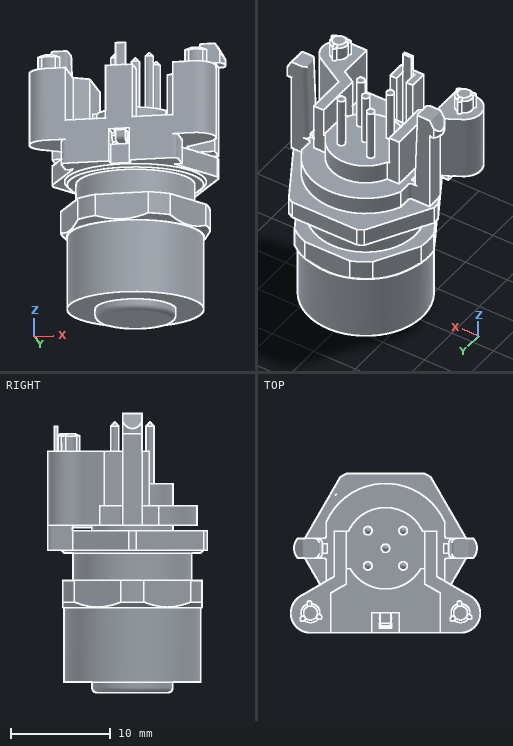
import cadquery as cq
import math

overall_width = 19.0
overall_height = 28.0
front_y = -8.48

nose_radius = 4.05
nose_round = 0.53
barrel_bottom = 1.05
barrel_radius = 6.85
nut_bottom = 8.5
nut_top = 11.28
nut_half_flats = 7.0
nut_corner_radius = 7.5
nut_bevel = 0.6
neck_radius = 5.95

collar_bottom = 14.0
collar_radius = 7.1
flange_bottom = 14.28
flange_top = 16.27
flange_half_flats = 7.5
flange_corner_radius = 8.45

insert_radius = 4.1
insert_top = 20.97
pin_offset = 1.75
pin_radius = 0.42
pin_shoulder = 26.7
pin_tip = 27.15

housing_bottom = 16.77
floor_top = 18.75
housing_top = 24.22
ear_radius = 2.0
ear_x = overall_width / 2 - ear_radius
ear_y = front_y + ear_radius
slope_angle = math.radians(30)
wall_outer_x = 5.12
wall_inner_x = 3.95
wall_back_y = 1.7
cavity_half_width = 5.5
cavity_shoulder_y = -4.48
shoulder_front_y = -2.07
plate_radius = 6.5
plate_half_width = 5.95
plate_front_y = -3.35
foot_half_width = 5.95
foot_back_y = -6.0
foot_round = 0.48

post_half_width = 1.37
post_back_y = -6.47
slit_half_width = 0.6
slit_front_y = -7.98
notch_half_width = 1.05
notch_top = 17.6
notch_slope_top = 17.3
notch_wall_y = -7.0
blade_half_width = 0.5
blade_front_y = -7.8
blade_thickness = 0.3
blade_bottom = 16.55
blade_bend_radius = 0.5

peg_radius = 0.95
peg_shoulder = 25.73
peg_top = 25.98
peg_top_radius = 0.7
rib_tip_radius = 1.23
rib_radius = 0.22
rib_count = 3
first_rib_angle = 96

arm_half_width = 0.98
arm_inner_base_x = 6.27
arm_inner_top_x = 6.65
arm_outer_x = 8.32
arm_side_round = 0.45
arm_top_round = 0.25
hook_tip_x = 9.18
hook_bottom = 25.95
hook_slope_bottom = 26.5
hook_end_radius = 1.43
bridge_round = 0.28
bridge_overlap = 0.55
gusset_tip_x = 5.82
gusset_height = 0.42
gusset_half_width = 0.48


def disc(radius, bottom, top, x=0, y=0):
    return cq.Workplane("XY", origin=(x, y, bottom)).circle(radius).extrude(top - bottom)


def box(x_min, x_max, y_min, y_max, bottom, top):
    size = (x_max - x_min, y_max - y_min, top - bottom)
    return cq.Workplane("XY").box(*size, centered=False).translate((x_min, y_min, bottom))


def centered_box(half_width, y_min, y_max, bottom, top):
    return box(-half_width, half_width, y_min, y_max, bottom, top)


def tapered_disc(bottom_radius, top_radius, bottom, top, x=0, y=0):
    profile = [(0, bottom), (bottom_radius, bottom), (top_radius, top)]
    if top_radius > 0:
        profile.append((0, top))
    return cq.Workplane("XZ").polyline(profile).close().revolve().translate((x, y, 0))


def rounded_hexagon(half_flats, corner_radius, bottom, top):
    """Hexagon with corners on the X axis, trimmed by a cylinder."""
    corner_diameter = 2 * half_flats / math.cos(math.radians(30))
    hexagon = cq.Workplane("XY", origin=(0, 0, bottom)).polygon(6, corner_diameter)
    return hexagon.extrude(top - bottom).intersect(disc(corner_radius, bottom, top))


def both_sides(right_half):
    """The given right-hand feature together with its mirror image."""
    return right_half.union(right_half.mirror("YZ"))


def make_plug():
    nose = disc(nose_radius, 0, barrel_bottom).faces("<Z").edges().fillet(nose_round)
    bevel_top = nut_bottom + nut_bevel
    bevel = tapered_disc(nut_corner_radius - nut_bevel, nut_corner_radius, nut_bottom, bevel_top)
    bevel = bevel.union(disc(nut_corner_radius, bevel_top, nut_top))
    nut = rounded_hexagon(nut_half_flats, nut_corner_radius, nut_bottom, nut_top).intersect(bevel)
    collar_bottom_radius = collar_radius - (flange_bottom - collar_bottom)
    plug = nose.union(disc(barrel_radius, barrel_bottom, nut_bottom)).union(nut)
    plug = plug.union(disc(neck_radius, nut_top, collar_bottom))
    plug = plug.union(tapered_disc(collar_bottom_radius, collar_radius, collar_bottom, flange_bottom))
    plug = plug.union(rounded_hexagon(flange_half_flats, flange_corner_radius, flange_bottom, flange_top))
    return plug.union(disc(insert_radius, flange_top, insert_top))


def make_pins():
    places = [(0, 0)]
    places += [(x, y) for x in (-pin_offset, pin_offset) for y in (-pin_offset, pin_offset)]
    pins = cq.Workplane("XY")
    for x, y in places:
        pins = pins.add(disc(pin_radius, insert_top, pin_shoulder, x, y))
        pins = pins.add(tapered_disc(pin_radius, 0, pin_shoulder, pin_tip, x, y))
    return pins.combine()


def ear_outline(bottom):
    """Front edge, two round ears and the sloped flanks that run back into the side walls."""
    tangent_x = ear_x + ear_radius * math.sin(slope_angle)
    tangent_y = ear_y + ear_radius * math.cos(slope_angle)
    wall_start_y = tangent_y + (tangent_x - wall_outer_x) * math.tan(slope_angle)
    return (
        cq.Workplane("XY", origin=(0, 0, bottom))
        .moveTo(-ear_x, front_y)
        .lineTo(ear_x, front_y)
        .threePointArc((ear_x + ear_radius, ear_y), (tangent_x, tangent_y))
        .lineTo(wall_outer_x, wall_start_y)
        .lineTo(wall_outer_x, wall_back_y)
        .lineTo(-wall_outer_x, wall_back_y)
        .lineTo(-wall_outer_x, wall_start_y)
        .lineTo(-tangent_x, tangent_y)
        .threePointArc((-ear_x - ear_radius, ear_y), (-ear_x, front_y))
        .close()
    )


def make_cavity():
    """Open space between the side walls, above the housing floor."""
    wall_start_y = cavity_shoulder_y + (cavity_half_width - wall_inner_x) * math.tan(slope_angle)
    right_side = [
        (cavity_half_width, front_y),
        (cavity_half_width, cavity_shoulder_y),
        (wall_inner_x, wall_start_y),
        (wall_inner_x, wall_back_y),
    ]
    left_side = [(-x, y) for x, y in reversed(right_side)]
    outline = cq.Workplane("XY", origin=(0, 0, floor_top)).polyline(right_side + left_side).close()
    return outline.extrude(housing_top - floor_top)


def make_back_plate():
    """Round-backed plate with straight sides and a filleted bridge out to each latch arm."""
    straight_part = centered_box(plate_half_width, plate_front_y, 0, housing_bottom, floor_top)
    round_part = disc(plate_radius, housing_bottom, floor_top)
    round_part = round_part.intersect(
        centered_box(plate_half_width, 0, plate_radius, housing_bottom, floor_top)
    )
    bridge_end_x = arm_inner_base_x + bridge_overlap
    bridge = centered_box(bridge_end_x, -arm_half_width, arm_half_width, housing_bottom, floor_top)
    plate = straight_part.union(round_part).union(bridge)
    middle_z = (housing_bottom + floor_top) / 2
    for x in (-plate_half_width, plate_half_width):
        for y in (-arm_half_width, arm_half_width):
            corner = cq.selectors.NearestToPointSelector((x, y, middle_z))
            plate = plate.edges(corner).fillet(bridge_round)
    return plate


def make_notch():
    """Front window around the blade foot, with a face that slopes back under its rear wall."""
    profile = [
        (front_y, flange_bottom),
        (-flange_half_flats, flange_bottom),
        (-flange_half_flats, flange_top),
        (post_back_y, flange_top),
        (post_back_y, housing_bottom),
        (notch_wall_y, notch_slope_top),
        (notch_wall_y, notch_top),
        (front_y, notch_top),
    ]
    return cq.Workplane("YZ").polyline(profile).close().extrude(notch_half_width, both=True)


def make_housing():
    housing = ear_outline(housing_bottom).extrude(housing_top - housing_bottom).cut(make_cavity())

    shoulder = centered_box(wall_inner_x, shoulder_front_y, wall_back_y, floor_top, insert_top)
    foot = centered_box(foot_half_width, front_y, foot_back_y, flange_bottom, housing_bottom)
    foot = foot.edges("|Z and <Y").fillet(foot_round)
    post = centered_box(post_half_width, front_y, post_back_y, floor_top, housing_top)
    housing = housing.union(make_back_plate()).union(shoulder).union(foot).union(post)

    slit = centered_box(slit_half_width, slit_front_y, post_back_y, flange_top, housing_top)
    return housing.cut(make_notch()).cut(slit)


def make_blade():
    """Flat contact rising through the post, bent backward at its foot into the housing."""
    blade_back_y = blade_front_y + blade_thickness
    leg_top = blade_bottom + blade_thickness
    blade = centered_box(blade_half_width, blade_front_y, blade_back_y, blade_bottom, pin_shoulder)
    leg = centered_box(blade_half_width, blade_front_y, -insert_radius, blade_bottom, leg_top)
    bent = blade.union(leg).clean()
    return bent.edges("|X and <Y and <Z").fillet(blade_bend_radius)


def make_peg(x):
    """Cone-topped peg gripped by three round ribs that run out along the same cone."""

    def coned_disc(radius):
        cone = tapered_disc(radius, peg_top_radius, peg_shoulder, peg_top)
        return disc(radius, housing_top, peg_shoulder).union(cone)

    peg = coned_disc(peg_radius)
    rib_end_x = rib_tip_radius - rib_radius
    rib = disc(rib_radius, housing_top, peg_top, rib_end_x)
    rib = rib.union(box(0, rib_end_x, -rib_radius, rib_radius, housing_top, peg_top))
    rib = rib.intersect(coned_disc(rib_tip_radius))
    for number in range(rib_count):
        angle = first_rib_angle + number * 360 / rib_count
        peg = peg.union(rib.rotate((0, 0, 0), (0, 0, 1), angle))
    return peg.translate((x, ear_y, 0))


def make_latch_arm():
    profile = [
        (arm_inner_base_x, housing_bottom),
        (arm_outer_x, housing_bottom),
        (arm_outer_x, hook_bottom),
        (hook_tip_x, hook_bottom),
        (hook_tip_x, hook_slope_bottom),
        (arm_outer_x, overall_height),
        (arm_inner_top_x, overall_height),
    ]
    blank = cq.Workplane("XZ").polyline(profile).close().extrude(arm_half_width, both=True)
    round_topped = blank.faces(">Z").edges("|Y").fillet(arm_top_round)
    arm = blank.faces("<X").edges("not |Y").fillet(arm_side_round).intersect(round_topped)
    rounded_end = disc(hook_end_radius, housing_bottom, overall_height, hook_tip_x - hook_end_radius)
    straight_part = box(
        0, arm_outer_x, -arm_half_width, arm_half_width, housing_bottom, overall_height
    )
    arm = arm.intersect(rounded_end.union(straight_part))

    gusset_outline = [
        (gusset_tip_x, floor_top),
        (arm_inner_base_x + bridge_overlap, floor_top),
        (arm_inner_base_x + bridge_overlap, floor_top + gusset_height),
        (arm_inner_base_x, floor_top + gusset_height),
    ]
    gusset = cq.Workplane("XZ").polyline(gusset_outline).close().extrude(gusset_half_width, both=True)
    return arm.union(gusset)


result = (
    make_plug()
    .union(make_housing())
    .union(make_blade())
    .union(make_pins())
    .union(make_peg(-ear_x))
    .union(make_peg(ear_x))
    .union(both_sides(make_latch_arm()))
)